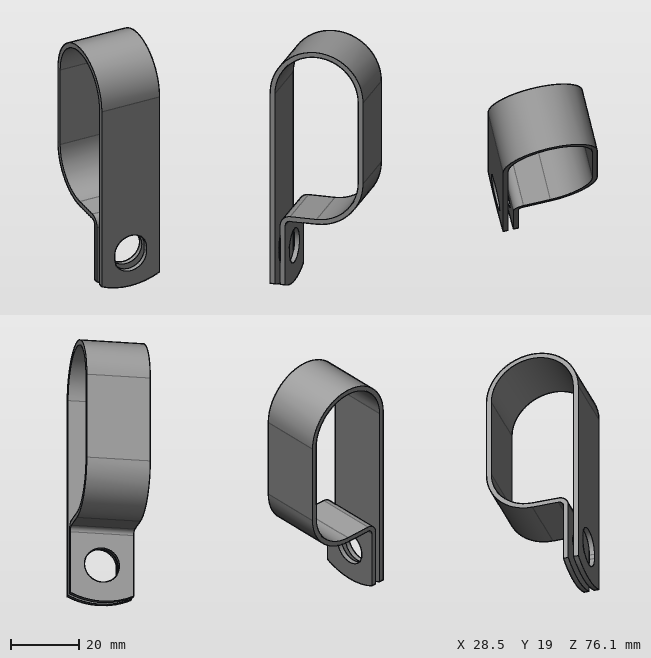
import cadquery as cq
import math

height = 76.1
strap_width = 19.0
thickness = 1.5
loop_width = 28.5

loop_bottom = 22.2
tab_gap = 1.6
bend_inner_radius = 1.5
hole_diameter = 10.4
slot_extra_length = 1.5
hole_height = 11.1
end_sagitta = 2.1

outer_radius = loop_width / 2
inner_radius = outer_radius - thickness
upper_center = height - outer_radius
lower_center = loop_bottom + outer_radius
bend_outer_radius = bend_inner_radius + thickness
long_tab_inside = outer_radius - thickness
short_tab_outside = long_tab_inside - tab_gap
short_tab_inside = short_tab_outside - thickness
bend_x = short_tab_outside - bend_outer_radius
bend_z = loop_bottom - bend_inner_radius
diagonal = math.sqrt(0.5)


def make_strap():
    """Bent strip outline in XZ, extruded symmetrically along Y."""
    bend_outer_mid = (bend_x + bend_outer_radius * diagonal, bend_z + bend_outer_radius * diagonal)
    bend_inner_mid = (bend_x + bend_inner_radius * diagonal, bend_z + bend_inner_radius * diagonal)
    return (
        cq.Workplane("XZ")
        .moveTo(outer_radius, 0)
        .lineTo(outer_radius, upper_center)
        .threePointArc((0, height), (-outer_radius, upper_center))
        .lineTo(-outer_radius, lower_center)
        .threePointArc(
            (-outer_radius * diagonal, lower_center - outer_radius * diagonal), (0, loop_bottom)
        )
        .lineTo(bend_x, loop_bottom)
        .threePointArc(bend_inner_mid, (short_tab_inside, bend_z))
        .lineTo(short_tab_inside, 0)
        .lineTo(short_tab_outside, 0)
        .lineTo(short_tab_outside, bend_z)
        .threePointArc(bend_outer_mid, (bend_x, loop_bottom + thickness))
        .lineTo(0, loop_bottom + thickness)
        .threePointArc(
            (-inner_radius * diagonal, lower_center - inner_radius * diagonal),
            (-inner_radius, lower_center),
        )
        .lineTo(-inner_radius, upper_center)
        .threePointArc((0, height - thickness), (inner_radius, upper_center))
        .lineTo(long_tab_inside, 0)
        .close()
        .extrude(strap_width / 2, both=True)
    )


def make_rounded_envelope():
    """Block with a shallow curved lower end, used to trim both tabs."""
    half_width = strap_width / 2
    return (
        cq.Workplane("YZ")
        .moveTo(-half_width, height)
        .lineTo(-half_width, end_sagitta)
        .threePointArc((0, 0), (half_width, end_sagitta))
        .lineTo(half_width, height)
        .close()
        .extrude(outer_radius, both=True)
    )


def make_round_hole():
    """Cylinder along X that passes through the short tab."""
    return (
        cq.Workplane("YZ")
        .center(0, hole_height)
        .circle(hole_diameter / 2)
        .extrude(short_tab_outside)
    )


def make_slot():
    """Upright slot through the long tab, centred on the round hole."""
    slot_length = hole_diameter + slot_extra_length
    return (
        cq.Workplane("YZ", origin=(short_tab_outside, 0, hole_height))
        .slot2D(slot_length, hole_diameter, 90)
        .extrude(tab_gap + thickness)
    )


strap = make_strap().intersect(make_rounded_envelope())
result = strap.cut(make_round_hole()).cut(make_slot())